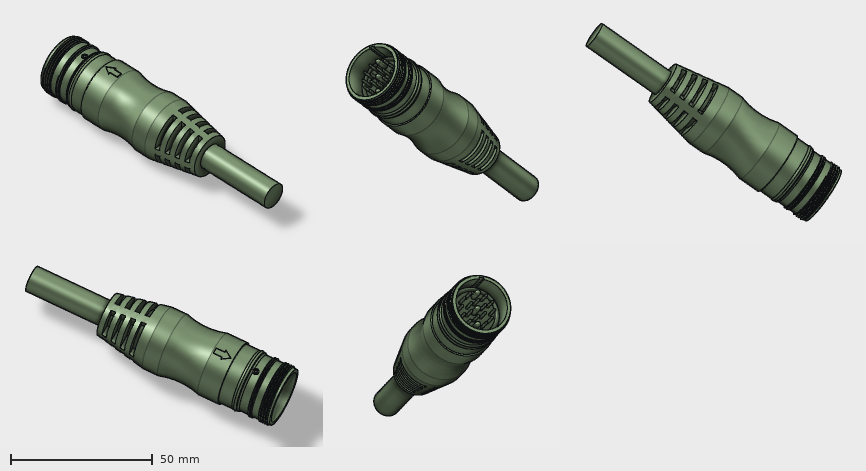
import cadquery as cq
import math

overall_length = 100.0
collar_end = 12.0
shoulder_end = 12.7
bead_start = 13.0
bead_crest = 13.9
bead_end = 14.8
grip_start = 20.0
waist_start = 28.0
waist_end = 44.0
boot_start = 50.0
boot_end = 70.0

collar_radius = 10.9
neck_radius = 11.4
bead_radius = 11.7
grip_radius = 12.0
waist_radius = 10.8
boot_end_radius = 8.2
cable_radius = 4.9

core_radius = 8.3
core_end = 57.0

socket_radius = 9.6
socket_depth = 8.5
seal_tube_radius = 0.8
seal_ring_radius = socket_radius - seal_tube_radius
keyway_width = 1.8
keyway_radius = 10.2

pin_tip = 3.1
small_pin_radius = 0.5
large_pin_radius = 1.0
outer_pin_circle = 6.0
outer_pin_count = 12
inner_pin_circle = 3.0
inner_pin_count = 6

thread_pitch = 1.0
thread_height = 0.5
thread_base = 0.8
thread_root_sink = 0.1
front_thread = (0.9, 4.7)
rear_thread = (7.1, 9.0)
first_crest_offset = 0.5

mark_x = 11.1
mark_outer_radius = 1.1
mark_inner_radius = 0.5
mark_depth = 0.5

arrow_tip = 21.0
arrow_shoulder = 24.0
arrow_end = 27.4
arrow_head_width = 3.8
arrow_shaft_width = 2.2
arrow_height = 0.3

slot_count = 4
slot_start = 54.0
slot_pitch = 4.0
slot_width = 1.8
rib_width = 3.0


def disc(start, end, radius):
    """Round bar on the X axis between two stations."""
    return cq.Workplane("YZ").workplane(offset=start).circle(radius).extrude(end - start)


def revolve_about_x(outline):
    """Turn a closed XY outline about the X axis."""
    return outline.revolve(360, (0, 0, 0), (1, 0, 0))


def make_connector_blank():
    """Collar, shoulder, beaded neck, core and cable as one turned shape."""
    outline = (
        cq.Workplane("XY")
        .lineTo(0, collar_radius)
        .lineTo(collar_end, collar_radius)
        .lineTo(shoulder_end, neck_radius)
        .lineTo(bead_start, neck_radius)
        .lineTo(bead_crest, bead_radius)
        .lineTo(bead_end, neck_radius)
        .lineTo(grip_start, neck_radius)
        .lineTo(grip_start, core_radius)
        .lineTo(core_end, core_radius)
        .lineTo(core_end, cable_radius)
        .lineTo(overall_length, cable_radius)
        .lineTo(overall_length, 0)
        .close()
    )
    return revolve_about_x(outline)


def make_thread(band):
    """Right-handed helical ridge, trimmed square at both ends of its band."""
    start, end = band
    helix_start = start + first_crest_offset - thread_pitch
    helix_length = end + thread_pitch - helix_start
    root_radius = collar_radius - thread_root_sink
    helix = cq.Wire.makeHelix(thread_pitch, helix_length, root_radius)
    ridge = (
        cq.Workplane("XZ")
        .polyline([
            (root_radius, -thread_base / 2),
            (collar_radius + thread_height, 0),
            (root_radius, thread_base / 2),
        ])
        .close()
        .sweep(cq.Workplane(helix), isFrenet=True)
        .rotate((0, 0, 0), (0, 1, 0), 90)
        .rotate((0, 0, 0), (1, 0, 0), 180)
        .translate((helix_start, 0, 0))
    )
    return ridge.intersect(disc(start, end, grip_radius))


def make_pin(radius, y, z):
    """Contact pin with a hemispherical tip, rooted in the socket floor."""
    shank_start = pin_tip + radius
    shank = disc(shank_start, socket_depth + radius, radius)
    tip = cq.Workplane("XY").sphere(radius).translate((shank_start, 0, 0))
    return shank.union(tip).translate((0, y, z))


def pin_place(circle_radius, count, index):
    """Y and Z of an evenly spaced pin, counted from the top of its circle."""
    angle = 2 * math.pi * index / count
    return circle_radius * math.sin(angle), circle_radius * math.cos(angle)


def make_pins():
    """Large pins in the centre and at the top and bottom of the outer circle, small pins elsewhere."""
    pins = [make_pin(large_pin_radius, 0, 0)]
    for index in range(outer_pin_count):
        is_large = index % (outer_pin_count // 2) == 0
        radius = large_pin_radius if is_large else small_pin_radius
        pins.append(make_pin(radius, *pin_place(outer_pin_circle, outer_pin_count, index)))
    for index in range(inner_pin_count):
        pins.append(make_pin(small_pin_radius, *pin_place(inner_pin_circle, inner_pin_count, index)))
    return pins


def make_seal_ring():
    """Rounded seal ring set half deep into the outer edge of the socket floor."""
    ring_centre = cq.Vector(socket_depth, 0, 0)
    return cq.Workplane(
        cq.Solid.makeTorus(seal_ring_radius, seal_tube_radius, ring_centre, cq.Vector(1, 0, 0))
    )


def make_mark():
    """Ring groove sunk from the top of the collar."""
    return (
        cq.Workplane("XY").workplane(offset=collar_radius - mark_depth)
        .center(mark_x, 0).circle(mark_outer_radius).circle(mark_inner_radius).extrude(grip_radius)
    )


def make_connector():
    keyway = cq.Workplane("XY").box(
        socket_depth, keyway_width, keyway_radius, centered=(False, True, False)
    )
    connector = make_connector_blank()
    connector = connector.cut(disc(0, socket_depth, socket_radius)).cut(keyway).cut(make_mark())
    for band in (front_thread, rear_thread):
        connector = connector.union(make_thread(band))
    connector = connector.union(make_seal_ring())
    for pin in make_pins():
        connector = connector.union(pin)
    return connector


def make_overmould_blank():
    """Waisted grip and tapered boot, bored to fit the core and the cable."""
    waist_middle = (waist_start + waist_end) / 2
    outline = (
        cq.Workplane("XY")
        .moveTo(grip_start, core_radius)
        .lineTo(grip_start, grip_radius)
        .lineTo(waist_start, grip_radius)
        .threePointArc((waist_middle, waist_radius), (waist_end, grip_radius))
        .lineTo(boot_start, grip_radius)
        .lineTo(boot_end, boot_end_radius)
        .lineTo(boot_end, cable_radius)
        .lineTo(core_end, cable_radius)
        .lineTo(core_end, core_radius)
        .close()
    )
    return revolve_about_x(outline)


def make_slots():
    """Rings of four windows that open the boot down to the core or the cable."""
    boot_length = boot_end - boot_start
    rib_plane = cq.Workplane("YZ").workplane(offset=boot_start)
    upright_rib = rib_plane.rect(rib_width, 2 * grip_radius).extrude(boot_length)
    level_rib = rib_plane.rect(2 * grip_radius, rib_width).extrude(boot_length)
    slots = []
    for index in range(slot_count):
        start = slot_start + index * slot_pitch
        ring = disc(start, start + slot_width, grip_radius)
        slots.append(ring.cut(upright_rib).cut(level_rib))
    return slots


def make_arrow():
    """Arrow that points to the mating face and follows the round of the grip."""
    half_head = arrow_head_width / 2
    half_shaft = arrow_shaft_width / 2
    outline = [
        (arrow_tip, 0),
        (arrow_shoulder, half_head),
        (arrow_shoulder, half_shaft),
        (arrow_end, half_shaft),
        (arrow_end, -half_shaft),
        (arrow_shoulder, -half_shaft),
        (arrow_shoulder, -half_head),
    ]
    prism = (
        cq.Workplane("XY").workplane(offset=waist_radius)
        .polyline(outline).close().extrude(grip_radius)
    )
    return prism.intersect(disc(grip_start, waist_start, grip_radius + arrow_height))


def make_overmould():
    overmould = make_overmould_blank().union(make_arrow())
    for slot in make_slots():
        overmould = overmould.cut(slot)
    return overmould


connector = make_connector()
overmould = make_overmould()

result = cq.Compound.makeCompound([connector.val(), overmould.val()])